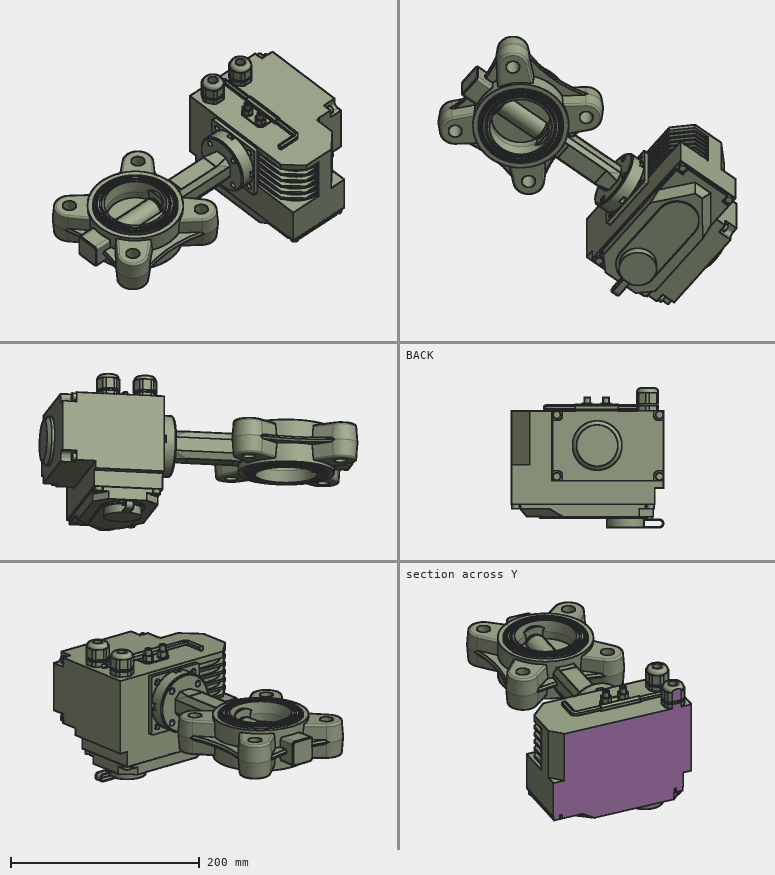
import cadquery as cq
import math


VALVE_X = -0.3
RING_RADIUS = 50.8
RING_HALF_HEIGHT = 23.0
LINER_SEAT_RADIUS = 45.0
LINER_RADIUS = 43.5
LINER_HALF_HEIGHT = 25.0
LINER_CHAMFER = 0.5
LINER_GAP_DEPTH = 2.0
LINER_GROOVES = ((40.5, 42.0), (36.0, 38.0))
LINER_GROOVE_DEPTH = 1.0
BORE_RADIUS = 31.0
BORE_MOUTH_RADIUS = 33.2
BORE_MOUTH_BOTTOM = 12.3
DISC_HALF_THICKNESS = 3.3
HUB_RADIUS = 12.0
HUB_HALF_LENGTH = 26.5
SHAFT_RADIUS = 11.0
SHAFT_BOSS_RADIUS = 20.0
SHAFT_BOSS_FACE = 29.2

LUG_OFFSET = 49.5
LUG_RADIUS = 18.0
LUG_HALF_HEIGHT = 19.3
LUG_ROOT = 37.0
LUG_DRAFT = 4.5
LUG_SPREAD = 5.0
LUG_EDGE_FILLET = 2.3
LUG_HOLE_DIAMETER = 14.3
WEB_WAIST = 58.8
WEB_END_RADIUS = 17.3
WEB_THICKNESS = 5.0
WEB_EDGE_SLOPE = 34.0

NECK_WIDTH = 27.5
NECK_HEIGHT = 30.0
NECK_CHAMFER_X = 4.0
NECK_CHAMFER_Z = 7.5
NECK_END_TAPER_X = 3.0
NECK_END_TAPER_LENGTH = 14.5
NECK_POCKET_WIDTH = 19.5
NECK_POCKET_DEPTH = 0.3
NECK_POCKET_START = 57.5
NECK_POCKET_END = 107.5
FOOT_WIDTH = 27.5
FOOT_END = -69.5
FOOT_EDGE_FILLET = 3.3
FOOT_END_CHAMFER = 1.0

FLANGE_RADIUS = 32.5
FLANGE_FACE = 124.5
FLANGE_CHAMFER = 1.3
FLANGE_HOLE_RADIUS = 3.3
FLANGE_HOLE_OFFSET = 18.0
FLANGE_HOLE_DEPTH = 10.0
FLANGE_NOTCH_RADIUS = 3.5
FLANGE_NOTCH_LENGTH = 5.0
PLATE_SIZE = 66.0
PLATE_FACE = 140.8
PLATE_CORNER = 2.0
PLATE_HOLE_OFFSET = 25.0
PLATE_HOLE_RADIUS = 3.3

HOUSING_LEFT = -72.5
HOUSING_RIGHT = 89.0
HOUSING_FRONT = 145.5
HOUSING_BACK = 219.5
HOUSING_TOP = 36.2
HOUSING_BOTTOM = -63.0
HOUSING_STEP_X = -63.0
HOUSING_STEP_Z = -45.8
REAR_RIGHT = 45.0
REAR_BACK = 255.3
REAR_BOTTOM = -38.0
REAR_COLLAR_RIGHT = 46.0
REAR_COLLAR_BACK = 222.5
CORNER_CUT = 19.3
FIN_ZONE_TOP = 29.2
FIN_ZONE_BOTTOM = -21.2
FIN_COUNT = 6
FIN_GAP = 6.3
FIN_PITCH = (FIN_ZONE_TOP - FIN_ZONE_BOTTOM - FIN_GAP) / (FIN_COUNT - 1)
FIN_ROOT_FRONT = 148.7
FIN_ROOT_RADIUS = 34.0
FIN_ROOT_CENTRE_X = 52.8
FIN_START_X = 33.2

NOTCH_SIZE = 10.3
NOTCH_CORNER = 5.0
NOTCH_DEPTH = 15.3
SCREW_RADIUS = 4.0
SCREW_HEIGHT = 4.3
SCREW_CORNER_OFFSET = 4.3
INDICATOR_X = -2.0
INDICATOR_Z = -0.5
INDICATOR_RADIUS = 26.2
INDICATOR_HEIGHT = 7.3
INDICATOR_CHAMFER = 4.3

GLAND_X = -55.5
GLAND_Y = (163.0, 203.0)
GLAND_FLATS = 23.0
GLAND_CORNER_RADIUS = 12.3
GLAND_BASE_HEIGHT = 5.3
GLAND_NECK_RADIUS = 10.0
GLAND_NECK_HEIGHT = 2.3
GLAND_TOP = 60.5
GLAND_DOME_HEIGHT = 5.0
GLAND_FILLET = 4.5
GLAND_HOLE_RADIUS = 5.0
GLAND_HOLE_DEPTH = 10.0

KEY_FLATS = 5.0
KEY_LEFT = -59.0
KEY_BEND_X = 52.0
KEY_Y = 185.3
KEY_Z = 39.5
KEY_SHORT_END = 160.0
KEY_BALL_X = -61.8
KEY_BALL_RADIUS = 2.3
KEY_NECK_RADIUS = 1.5
KEY_BEND_RADIUS = 4.3
CLIP_LEFT = -24.2
CLIP_RIGHT = 21.2
CLIP_FLATS = 6.5
TAB_LEFT = -17.3
TAB_RIGHT = 15.0
TAB_FRONT = 166.3
TAB_THICKNESS = 1.0
TAB_CORNER = 3.3
STOP_BOLT_X = (-11.3, 8.5)
STOP_BOLT_Y = 172.3
STOP_WASHER_RADIUS = 5.5
STOP_NUT_FLATS = 10.0
STOP_NUT_BOTTOM = 38.0
STOP_NUT_TOP = 44.0
STOP_BOLT_RADIUS = 3.3
STOP_BOLT_TOP = 50.5
STOP_SOCKET_RADIUS = 1.5
STOP_SOCKET_DEPTH = 2.5

COVER_LEFT = -61.5
COVER_RIGHT = 87.5
COVER_FRONT = 147.5
COVER_BACK = 217.8
COVER_FLANGE_BOTTOM = -67.7
COVER_BOTTOM = -76.0
COVER_NOTCH = 8.5
COVER_SCREW_RADIUS = 4.0
COVER_SCREW_OVERHANG = 1.0
COVER_LEFT_CUT = 14.5
COVER_TOP_RIGHT = 79.7
COVER_BOTTOM_RIGHT = 72.7
COVER_TOP_RIGHT_CUT = 31.0
COVER_BOTTOM_RIGHT_CUT = 38.2
COVER_RIGHT_CUT_SLOPE = 0.8
PAD_LEFT = -55.0
PAD_RIGHT = 58.8
PAD_WIDTH = 46.5
PAD_BOTTOM = -78.0
KNOB_X = -32.0
KNOB_Y = 182.5
KNOB_RADIUS = 20.0
KNOB_BOTTOM = -87.5
HANDLE_WIDTH = 8.3
HANDLE_THICKNESS = 1.0
HANDLE_TOP = -79.0
HANDLE_PIN_X = -57.5
HANDLE_PIN_RADIUS = 3.0


def box(x0, x1, y0, y1, z0, z1):
    """Axis-aligned block between two opposite corners."""
    return cq.Workplane("XY").box(x1 - x0, y1 - y0, z1 - z0, centered=False).translate((x0, y0, z0))


def cylinder_z(x, y, radius, z0, z1):
    """Upright cylinder between two heights."""
    return cq.Workplane("XY", origin=(x, y, z0)).circle(radius).extrude(z1 - z0)


def plane_y(y, x=0.0, z=0.0):
    """Workplane facing +Y, with its local y axis along Z."""
    return cq.Workplane(cq.Plane(origin=(x, y, z), xDir=(-1, 0, 0), normal=(0, 1, 0)))


def cylinder_y(x, z, radius, y0, y1):
    """Cylinder along Y between two stations."""
    return plane_y(y0, x, z).circle(radius).extrude(y1 - y0)


def hex_prism(x, y, flats, z0, z1):
    """Upright hexagon with two corners along Y and its flats facing X."""
    corner_diameter = flats / math.cos(math.pi / 6)
    plane = cq.Workplane("XY", origin=(x, y, z0)).transformed(rotate=(0, 0, 90))
    return plane.polygon(6, corner_diameter).extrude(z1 - z0)


def tetrahedron(a, b, c, d):
    """Solid with four corner points."""
    faces = []
    for triangle in ((a, b, c), (a, b, d), (a, c, d), (b, c, d)):
        outline = cq.Wire.makePolygon([cq.Vector(*point) for point in triangle], close=True)
        faces.append(cq.Face.makeFromWires(outline))
    return cq.Workplane(cq.Solid.makeSolid(cq.Shell.makeShell(faces)))


def make_web():
    """Thin plate with four concave sides, each arc tangent to the two neighbouring rounded ends.

    The edge slopes outward to a crest at mid-thickness.
    """
    edge_gap = WEB_WAIST - LUG_OFFSET
    arc_radius = (edge_gap**2 + LUG_OFFSET**2 - WEB_END_RADIUS**2) / (2 * (WEB_END_RADIUS - edge_gap))
    share = WEB_END_RADIUS / (arc_radius + WEB_END_RADIUS)
    near = LUG_OFFSET * (1 - share)
    far = LUG_OFFSET + share * (edge_gap + arc_radius)
    tip = LUG_OFFSET + WEB_END_RADIUS / math.sqrt(2)

    outline = cq.Workplane("XY").moveTo(far, -near)
    for quarter in range(4):
        c = round(math.cos(quarter * math.pi / 2))
        s = round(math.sin(quarter * math.pi / 2))

        def turned(x, y):
            return (x * c - y * s, x * s + y * c)

        outline = outline.threePointArc(turned(WEB_WAIST, 0), turned(far, near))
        outline = outline.threePointArc(turned(tip, tip), turned(near, far))
    upper = outline.close().extrude(WEB_THICKNESS / 2, taper=WEB_EDGE_SLOPE)
    return upper.union(upper.mirror("XY"))


def make_lug(angle):
    """Drafted lug running outward along one diagonal, rounded at its outer end."""
    reach = LUG_OFFSET * math.sqrt(2)
    spread = math.radians(LUG_SPREAD)
    tangent_x = reach + LUG_RADIUS * math.sin(spread)
    tangent_y = LUG_RADIUS * math.cos(spread)
    root_y = tangent_y + (tangent_x - LUG_ROOT) * math.tan(spread)

    outline = (
        cq.Workplane("XY")
        .moveTo(LUG_ROOT, -root_y)
        .lineTo(tangent_x, -tangent_y)
        .threePointArc((reach + LUG_RADIUS, 0), (tangent_x, tangent_y))
        .lineTo(LUG_ROOT, root_y)
        .close()
    )
    upper = outline.extrude(LUG_HALF_HEIGHT, taper=LUG_DRAFT)
    upper = upper.faces(">Z").edges().fillet(LUG_EDGE_FILLET)
    return upper.union(upper.mirror("XY")).rotate((0, 0, 0), (0, 0, 1), angle)


def make_neck():
    """Octagonal stem neck whose top and bottom flats narrow where it meets the flange."""
    half_x = NECK_WIDTH / 2
    half_z = NECK_HEIGHT / 2
    side_z = half_z - NECK_CHAMFER_Z
    flat_x = half_x - NECK_CHAMFER_X
    section = [
        (flat_x, half_z), (half_x, side_z), (half_x, -side_z), (flat_x, -half_z),
        (-flat_x, -half_z), (-half_x, -side_z), (-half_x, side_z), (-flat_x, half_z),
    ]
    neck = plane_y(LINER_RADIUS).polyline(section).close().extrude(FLANGE_FACE - LINER_RADIUS)

    corner_cut = tetrahedron(
        (flat_x, FLANGE_FACE - NECK_END_TAPER_LENGTH, half_z),
        (half_x, FLANGE_FACE, side_z),
        (flat_x - NECK_END_TAPER_X, FLANGE_FACE, half_z),
        (flat_x, FLANGE_FACE, half_z),
    )
    upper_cuts = corner_cut.add(corner_cut.mirror("YZ"))
    for cut in upper_cuts.vals():
        neck = neck.cut(cq.Workplane(cut)).cut(cq.Workplane(cut).mirror("XY"))
    for side in (-1, 1):
        face_z = sorted((side * half_z, side * (half_z - NECK_POCKET_DEPTH)))
        pocket_x = NECK_POCKET_WIDTH / 2
        neck = neck.cut(box(-pocket_x, pocket_x, NECK_POCKET_START, NECK_POCKET_END, *face_z))
    return neck


def make_foot():
    """Square lug opposite the stem."""
    half = FOOT_WIDTH / 2
    foot = box(-half, half, FOOT_END, -LINER_RADIUS, -half, half)
    return foot.edges("|Y").fillet(FOOT_EDGE_FILLET).faces("<Y").chamfer(FOOT_END_CHAMFER)


def make_valve():
    body = cylinder_z(0, 0, RING_RADIUS, -RING_HALF_HEIGHT, RING_HALF_HEIGHT)
    body = body.union(make_web()).union(make_neck()).union(make_foot())
    for angle in (45, 135, 225, 315):
        body = body.union(make_lug(angle))
    lug_centres = [(x, y) for x in (-LUG_OFFSET, LUG_OFFSET) for y in (-LUG_OFFSET, LUG_OFFSET)]
    for x, y in lug_centres:
        body = body.cut(cylinder_z(x, y, LUG_HOLE_DIAMETER / 2, -LUG_HALF_HEIGHT, LUG_HALF_HEIGHT))

    liner = cylinder_z(0, 0, LINER_RADIUS, -LINER_HALF_HEIGHT, LINER_HALF_HEIGHT)
    body = body.union(liner.faces("|Z").edges().chamfer(LINER_CHAMFER))
    gap_bottom = RING_HALF_HEIGHT - LINER_GAP_DEPTH
    groove_bottom = LINER_HALF_HEIGHT - LINER_GROOVE_DEPTH
    cuts = [(LINER_RADIUS, LINER_SEAT_RADIUS, gap_bottom)]
    cuts += [(inner, outer, groove_bottom) for inner, outer in LINER_GROOVES]
    for inner, outer, bottom in cuts:
        depth = LINER_HALF_HEIGHT - bottom
        groove = cq.Workplane("XY", origin=(0, 0, bottom)).circle(outer).circle(inner).extrude(depth)
        body = body.cut(groove).cut(groove.mirror("XY"))

    bore_profile = [
        (0, -LINER_HALF_HEIGHT), (BORE_MOUTH_RADIUS, -LINER_HALF_HEIGHT), (BORE_RADIUS, -BORE_MOUTH_BOTTOM),
        (BORE_RADIUS, BORE_MOUTH_BOTTOM), (BORE_MOUTH_RADIUS, LINER_HALF_HEIGHT), (0, LINER_HALF_HEIGHT),
    ]
    body = body.cut(cq.Workplane("XZ").polyline(bore_profile).close().revolve(360, (0, 0), (0, 1)))

    body = body.union(cylinder_z(0, 0, BORE_MOUTH_RADIUS, -DISC_HALF_THICKNESS, DISC_HALF_THICKNESS))
    boss_end = (BORE_RADIUS + RING_RADIUS) / 2
    body = body.union(cylinder_y(0, 0, HUB_RADIUS, -HUB_HALF_LENGTH, HUB_HALF_LENGTH))
    body = body.union(cylinder_y(0, 0, SHAFT_RADIUS, -boss_end, boss_end))
    boss = cylinder_y(0, 0, SHAFT_BOSS_RADIUS, SHAFT_BOSS_FACE, boss_end)
    body = body.union(boss).union(boss.mirror("XZ"))
    return body.translate((VALVE_X, 0, 0))


def make_flange():
    """Square plate against the housing with the round stem flange in front of it."""
    plate = plane_y(PLATE_FACE).rect(PLATE_SIZE, PLATE_SIZE).extrude(HOUSING_FRONT - PLATE_FACE)
    plate = plate.edges("|Y").fillet(PLATE_CORNER)
    spacing = 2 * PLATE_HOLE_OFFSET
    holes = plane_y(PLATE_FACE).rect(spacing, spacing, forConstruction=True).vertices()
    plate = plate.cut(holes.circle(PLATE_HOLE_RADIUS).extrude(HOUSING_FRONT - PLATE_FACE))

    flange = cylinder_y(0, 0, FLANGE_RADIUS, FLANGE_FACE, PLATE_FACE).faces("<Y").chamfer(FLANGE_CHAMFER)
    spacing = 2 * FLANGE_HOLE_OFFSET
    holes = plane_y(FLANGE_FACE).rect(spacing, spacing, forConstruction=True).vertices()
    flange = flange.cut(holes.circle(FLANGE_HOLE_RADIUS).extrude(FLANGE_HOLE_DEPTH))
    notch_start = PLATE_FACE - FLANGE_NOTCH_LENGTH
    notch = cylinder_y(0, FLANGE_RADIUS, FLANGE_NOTCH_RADIUS, notch_start, PLATE_FACE)
    for angle in (0, 90, 180, 270):
        flange = flange.cut(notch.rotate((0, 0, 0), (0, 1, 0), angle))
    return plate.union(flange.translate((VALVE_X, 0, 0)))


def make_fin_gaps():
    """Gaps between the cooling fins; their root curves from the front face round to the +X face."""
    root_middle = FIN_ROOT_FRONT + FIN_ROOT_RADIUS
    gaps = []
    for index in range(FIN_COUNT):
        top = FIN_ZONE_TOP - index * FIN_PITCH
        bottom = top - FIN_GAP
        slab = box(FIN_START_X, HOUSING_RIGHT, HOUSING_FRONT, root_middle, bottom, top)
        straight = box(FIN_START_X, FIN_ROOT_CENTRE_X, FIN_ROOT_FRONT, root_middle, bottom, top)
        round_end = cylinder_z(FIN_ROOT_CENTRE_X, root_middle, FIN_ROOT_RADIUS, bottom, top)
        gaps.append(slab.cut(straight).cut(round_end))
    return gaps


def make_housing():
    front_profile = [
        (HOUSING_LEFT, HOUSING_TOP), (HOUSING_RIGHT, HOUSING_TOP), (HOUSING_RIGHT, HOUSING_BOTTOM),
        (HOUSING_STEP_X, HOUSING_BOTTOM), (HOUSING_STEP_X, HOUSING_STEP_Z), (HOUSING_LEFT, HOUSING_STEP_Z),
    ]
    depth = HOUSING_BACK - HOUSING_FRONT
    housing = cq.Workplane("XZ", origin=(0, HOUSING_BACK, 0)).polyline(front_profile).close().extrude(depth)

    for y, inward in ((HOUSING_FRONT, 1), (HOUSING_BACK, -1)):
        corner = [
            (HOUSING_RIGHT, y), (HOUSING_RIGHT - CORNER_CUT, y), (HOUSING_RIGHT, y + inward * CORNER_CUT),
        ]
        plane = cq.Workplane("XY", origin=(0, 0, FIN_ZONE_BOTTOM))
        housing = housing.cut(plane.polyline(corner).close().extrude(HOUSING_TOP - FIN_ZONE_BOTTOM))
    for gap in make_fin_gaps():
        housing = housing.cut(gap)

    rear = box(HOUSING_LEFT, REAR_RIGHT, HOUSING_BACK, REAR_BACK, REAR_BOTTOM, HOUSING_TOP)
    collar = box(HOUSING_LEFT, REAR_COLLAR_RIGHT, HOUSING_BACK, REAR_COLLAR_BACK, REAR_BOTTOM, HOUSING_TOP)
    housing = housing.union(rear).union(collar)

    notch_floor = REAR_BACK - NOTCH_DEPTH
    for x, x_in in ((HOUSING_LEFT, 1), (REAR_RIGHT, -1)):
        for z, z_in in ((REAR_BOTTOM, 1), (HOUSING_TOP, -1)):
            notch = plane_y(notch_floor, x, z).rect(2 * NOTCH_SIZE, 2 * NOTCH_SIZE).extrude(NOTCH_DEPTH)
            housing = housing.cut(notch.edges("|Y").fillet(NOTCH_CORNER))
            screw_x = x + x_in * SCREW_CORNER_OFFSET
            screw_z = z + z_in * SCREW_CORNER_OFFSET
            screw = cylinder_y(screw_x, screw_z, SCREW_RADIUS, notch_floor, notch_floor + SCREW_HEIGHT)
            housing = housing.union(screw)

    indicator_end = REAR_BACK + INDICATOR_HEIGHT
    indicator = cylinder_y(INDICATOR_X, INDICATOR_Z, INDICATOR_RADIUS, REAR_BACK, indicator_end)
    return housing.union(indicator.faces(">Y").chamfer(INDICATOR_CHAMFER))


def make_gland(y):
    """Cable gland: hexagonal base, round neck and domed hexagonal cap nut with a blind hole."""
    base_top = HOUSING_TOP + GLAND_BASE_HEIGHT
    nut_bottom = base_top + GLAND_NECK_HEIGHT
    nut_top = GLAND_TOP - GLAND_DOME_HEIGHT

    def rounded_hex(z0, z1):
        envelope = cylinder_z(GLAND_X, y, GLAND_CORNER_RADIUS, z0, z1)
        return hex_prism(GLAND_X, y, GLAND_FLATS, z0, z1).intersect(envelope)

    dome = cylinder_z(GLAND_X, y, GLAND_FLATS / 2, nut_top, GLAND_TOP)
    dome = dome.faces(">Z").edges().fillet(GLAND_FILLET)
    gland = rounded_hex(HOUSING_TOP, base_top)
    gland = gland.union(cylinder_z(GLAND_X, y, GLAND_NECK_RADIUS, base_top, nut_bottom))
    gland = gland.union(rounded_hex(nut_bottom, nut_top)).union(dome)
    hole = cylinder_z(GLAND_X, y, GLAND_HOLE_RADIUS, GLAND_TOP - GLAND_HOLE_DEPTH, GLAND_TOP)
    return gland.cut(hole)


def key_plane(x):
    """Workplane across the long arm of the hex key, with its local x axis along Z."""
    return cq.Workplane(cq.Plane(origin=(x, KEY_Y, KEY_Z), xDir=(0, 0, 1), normal=(1, 0, 0)))


def make_hex_key():
    """L-shaped hexagonal key lying above the housing, with a ball on its long end."""
    path = (
        cq.Workplane("XY", origin=(0, 0, KEY_Z))
        .moveTo(KEY_LEFT, KEY_Y)
        .lineTo(KEY_BEND_X - KEY_BEND_RADIUS, KEY_Y)
        .radiusArc((KEY_BEND_X, KEY_Y - KEY_BEND_RADIUS), KEY_BEND_RADIUS)
        .lineTo(KEY_BEND_X, KEY_SHORT_END)
    )
    corner_diameter = KEY_FLATS / math.cos(math.pi / 6)
    key = key_plane(KEY_LEFT).polygon(6, corner_diameter).sweep(path)
    neck = key_plane(KEY_BALL_X).circle(KEY_NECK_RADIUS).extrude(KEY_LEFT - KEY_BALL_X)
    return key.union(neck).union(key_plane(KEY_BALL_X).sphere(KEY_BALL_RADIUS))


def make_key_clip():
    """Hexagonal sleeve gripping the hex key, with the screwed tab and the two stop bolts."""
    corner_diameter = CLIP_FLATS / math.cos(math.pi / 6)
    clip = key_plane(CLIP_LEFT).polygon(6, corner_diameter).extrude(CLIP_RIGHT - CLIP_LEFT)
    tab = box(TAB_LEFT, TAB_RIGHT, TAB_FRONT, KEY_Y, HOUSING_TOP, HOUSING_TOP + TAB_THICKNESS)
    clip = clip.union(tab.edges("|Z and <Y").chamfer(TAB_CORNER))
    for x in STOP_BOLT_X:
        washer = cylinder_z(x, STOP_BOLT_Y, STOP_WASHER_RADIUS, HOUSING_TOP, STOP_NUT_BOTTOM)
        nut = hex_prism(x, STOP_BOLT_Y, STOP_NUT_FLATS, STOP_NUT_BOTTOM, STOP_NUT_TOP)
        bolt = cylinder_z(x, STOP_BOLT_Y, STOP_BOLT_RADIUS, STOP_NUT_TOP, STOP_BOLT_TOP)
        socket_floor = STOP_BOLT_TOP - STOP_SOCKET_DEPTH
        bolt = bolt.cut(cylinder_z(x, STOP_BOLT_Y, STOP_SOCKET_RADIUS, socket_floor, STOP_BOLT_TOP))
        clip = clip.union(washer).union(nut).union(bolt)
    return clip


def make_cover():
    """Bottom cover: notched flange with corner screws and a body with cut corners."""
    cover = box(COVER_LEFT, COVER_RIGHT, COVER_FRONT, COVER_BACK, COVER_FLANGE_BOTTOM, HOUSING_BOTTOM)
    for x, x_in in ((COVER_LEFT, 1), (COVER_RIGHT, -1)):
        for y, y_in in ((COVER_FRONT, 1), (COVER_BACK, -1)):
            xs = sorted((x, x + x_in * COVER_NOTCH))
            ys = sorted((y, y + y_in * COVER_NOTCH))
            cover = cover.cut(box(*xs, *ys, COVER_FLANGE_BOTTOM, HOUSING_BOTTOM))
            screw_x = x + x_in * (COVER_SCREW_RADIUS - COVER_SCREW_OVERHANG)
            screw_y = y + y_in * COVER_SCREW_RADIUS
            screw = cylinder_z(screw_x, screw_y, COVER_SCREW_RADIUS, COVER_FLANGE_BOTTOM, HOUSING_BOTTOM)
            cover = cover.union(screw)

    def outline(right, right_cut):
        left_inner = COVER_LEFT + COVER_LEFT_CUT
        right_depth = right_cut * COVER_RIGHT_CUT_SLOPE
        return [
            (COVER_LEFT, COVER_FRONT + COVER_LEFT_CUT), (left_inner, COVER_FRONT),
            (right - right_cut, COVER_FRONT), (right, COVER_FRONT + right_depth),
            (right, COVER_BACK - right_depth), (right - right_cut, COVER_BACK),
            (left_inner, COVER_BACK), (COVER_LEFT, COVER_BACK - COVER_LEFT_CUT),
        ]

    body = (
        cq.Workplane("XY", origin=(0, 0, COVER_FLANGE_BOTTOM))
        .polyline(outline(COVER_TOP_RIGHT, COVER_TOP_RIGHT_CUT))
        .close()
        .workplane(offset=COVER_BOTTOM - COVER_FLANGE_BOTTOM)
        .polyline(outline(COVER_BOTTOM_RIGHT, COVER_BOTTOM_RIGHT_CUT))
        .close()
        .loft(ruled=True)
    )
    pad_plane = cq.Workplane("XY", origin=((PAD_LEFT + PAD_RIGHT) / 2, KNOB_Y, PAD_BOTTOM))
    pad = pad_plane.slot2D(PAD_RIGHT - PAD_LEFT, PAD_WIDTH).extrude(COVER_BOTTOM - PAD_BOTTOM)
    return cover.union(body).union(pad)


def make_knob():
    """Round knob under the cover with a hairpin strip handle at its -X side."""
    knob = cylinder_z(KNOB_X, KNOB_Y, KNOB_RADIUS, KNOB_BOTTOM, PAD_BOTTOM)
    bend_radius = (HANDLE_TOP - KNOB_BOTTOM) / 2

    def hairpin(radius):
        straight = KNOB_X - HOUSING_LEFT - bend_radius
        plane = cq.Workplane("XZ", origin=(KNOB_X, KNOB_Y + HANDLE_WIDTH / 2, HANDLE_TOP - bend_radius))
        outline = plane.moveTo(0, radius).lineTo(-straight, radius)
        outline = outline.threePointArc((-straight - radius, 0), (-straight, -radius)).lineTo(0, -radius)
        return outline.close().extrude(HANDLE_WIDTH)

    handle = hairpin(bend_radius).cut(hairpin(bend_radius - HANDLE_THICKNESS))
    pin_bottom = HANDLE_TOP - HANDLE_THICKNESS
    pin = cylinder_z(HANDLE_PIN_X, KNOB_Y, HANDLE_PIN_RADIUS, pin_bottom, COVER_BOTTOM)
    return knob.union(handle).union(pin)


result = make_valve().union(make_flange()).union(make_housing())
for gland_y in GLAND_Y:
    result = result.union(make_gland(gland_y))
result = result.union(make_hex_key()).union(make_key_clip())
result = result.union(make_cover()).union(make_knob())